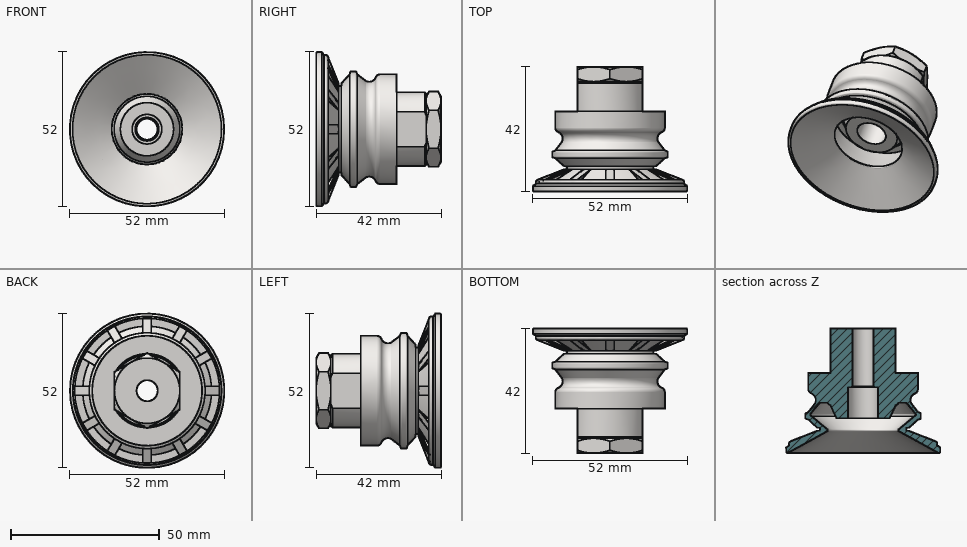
import cadquery as cq
import math


length = 42.0

cup_radius = 52 / 2
rim_round = 0.5
rim_back = 1.85
rim_back_chamfer = 0.2
rim_inner_point = (25.05, 0.2)
bead_front = (24.95, 2.75)
bead_step = 2.6
bead_back = (24.35, 4.05)
bead_round = 1.0

cone_outer_radius = 21.7
cone_inner_point = (15.35, 7.6)
rib_count = 12
rib_width = 2.9
rib_outer_radius = 24.3
rib_embed_point = (20.8, 3.8)

groove_mouth_radius = 14.75
groove_front = cone_inner_point[1]
groove_back = 8.55
groove_round = 0.6

fold_radius = 39 / 2
fold_land_front = 11.9
fold_land_back = 13.15
fold_round = 0.5
fold_front_shoulder = (19.2, 11.45)
fold_front_cone_start = (15.5, groove_back)
fold_front_cone_end = (18.45, 11.25)
fold_back_shoulder = (19.25, 13.55)
fold_back_cone_start = (18.45, 13.9)
fold_back_cone_end = (16.3, 16.75)

waist_round = 2.35
waist_back = (17.3, 19.95)
flange_radius = 37.0 / 2
flange_edge = 21.5
flange_edge_round = 1.7
flange_back = 27.05

lip_front = (12.15, 7.3)
lip_back = (11.95, 8.0)
lip_round = 0.4
pocket_front_cone_end = (17.3, 12.5)
pocket_back_cone_start = (17.65, 13.25)
pocket_round = 0.45
pocket_back_cone_end = (14.8, 16.65)
pocket_floor = 16.9
pocket_floor_radius = 14.5

boss_face = 11.7
boss_face_radius = 8.95
boss_cone_end = (11.1, 16.1)
boss_foot_radius = 11.95
boss_foot_round = 1.15

across_flats = 22.0
corner_radius = across_flats / math.sqrt(3)
hex_front = 37.0
hex_chamfer_angle = 30
neck_radius = 24.9 / 2
neck_chamfer = 0.5

through_radius = 7.0 / 2
counterbore_radius = 10.0 / 2
counterbore_depth = 10.4
bore_chamfer = 0.45


def revolve(outline):
    """Close a half profile and turn it about the Y axis."""
    return outline.close().revolve(360, (0, 0, 0), (0, 1, 0))


def bellows_cup():
    """Flange, fold, cup and inner boss as a single revolved profile."""
    profile = cq.Workplane("XY").moveTo(0, flange_back)

    profile = (
        profile.lineTo(flange_radius, flange_back)
        .lineTo(flange_radius, flange_edge)
        .radiusArc(waist_back, flange_edge_round)
        .radiusArc(fold_back_cone_end, -waist_round)
    )

    profile = (
        profile.lineTo(*fold_back_cone_start)
        .lineTo(*fold_back_shoulder)
        .radiusArc((fold_radius, fold_land_back), fold_round)
        .lineTo(fold_radius, fold_land_front)
        .radiusArc(fold_front_shoulder, fold_round)
        .lineTo(*fold_front_cone_end)
        .lineTo(*fold_front_cone_start)
    )

    profile = (
        profile.lineTo(groove_mouth_radius, groove_back)
        .radiusArc((groove_mouth_radius, groove_front), -groove_round)
        .lineTo(*cone_inner_point)
        .lineTo(cone_outer_radius, bead_back[1])
        .lineTo(*bead_back)
        .radiusArc(bead_front, bead_round)
        .lineTo(bead_front[0], bead_step)
        .lineTo(cup_radius - rim_back_chamfer, rim_back + rim_back_chamfer)
        .lineTo(cup_radius, rim_back)
        .lineTo(cup_radius, rim_round)
        .threePointArc((cup_radius - rim_round, 0), rim_inner_point)
    )

    profile = (
        profile.lineTo(*lip_front)
        .radiusArc(lip_back, lip_round)
        .lineTo(*pocket_front_cone_end)
        .radiusArc(pocket_back_cone_start, -pocket_round)
        .lineTo(*pocket_back_cone_end)
        .lineTo(pocket_floor_radius, pocket_floor)
    )

    profile = (
        profile.lineTo(boss_foot_radius, pocket_floor)
        .radiusArc(boss_cone_end, boss_foot_round)
        .lineTo(boss_face_radius, boss_face)
        .lineTo(0, boss_face)
    )
    return revolve(profile)


def rib():
    """One wedge rib: flush with the back cone at the groove, highest at the bead."""
    return (
        cq.Workplane("XY")
        .moveTo(*cone_inner_point)
        .lineTo(rib_outer_radius, bead_back[1])
        .lineTo(*rib_embed_point)
        .close()
        .extrude(rib_width / 2, both=True)
    )


def neck():
    """Round neck with a flat on its +X and -X sides."""
    cylinder = revolve(
        cq.Workplane("XY")
        .moveTo(0, flange_back)
        .lineTo(neck_radius, flange_back)
        .lineTo(neck_radius, hex_front - neck_chamfer)
        .lineTo(neck_radius - neck_chamfer, hex_front)
        .lineTo(0, hex_front)
    )
    flats = (
        cq.Workplane("XZ", origin=(0, flange_back, 0))
        .rect(across_flats, 2 * neck_radius)
        .extrude(flange_back - hex_front)
    )
    return cylinder.intersect(flats)


def hexagon():
    """Hexagon with corners on the Z axis, chamfered on both ends."""
    prism = (
        cq.Workplane("XZ", origin=(0, hex_front, 0))
        .transformed(rotate=(0, 0, 90))
        .polygon(6, 2 * corner_radius)
        .extrude(hex_front - length)
    )
    face_radius = across_flats / 2
    chamfer_height = (corner_radius - face_radius) * math.tan(math.radians(hex_chamfer_angle))
    envelope = revolve(
        cq.Workplane("XY")
        .moveTo(0, hex_front)
        .lineTo(face_radius, hex_front)
        .lineTo(corner_radius, hex_front + chamfer_height)
        .lineTo(corner_radius, length - chamfer_height)
        .lineTo(face_radius, length)
        .lineTo(0, length)
    )
    return prism.intersect(envelope)


def bores():
    """Counterbore from the boss face and the through hole behind it."""
    counterbore_floor = boss_face + counterbore_depth
    return revolve(
        cq.Workplane("XY")
        .moveTo(0, 0)
        .lineTo(counterbore_radius, 0)
        .lineTo(counterbore_radius, counterbore_floor)
        .lineTo(through_radius + bore_chamfer, counterbore_floor)
        .lineTo(through_radius, counterbore_floor + bore_chamfer)
        .lineTo(through_radius, length)
        .lineTo(0, length)
    )


body = bellows_cup()
for index in range(rib_count):
    angle = index * 360 / rib_count
    body = body.union(rib().rotate((0, 0, 0), (0, 1, 0), angle))
result = body.union(neck()).union(hexagon()).cut(bores())